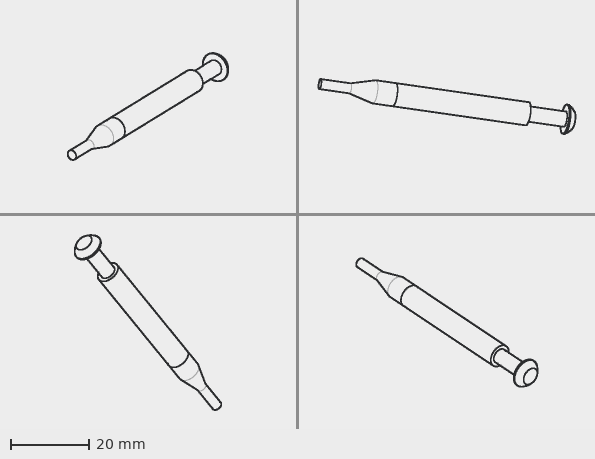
import cadquery as cq

total_length = 67.8

tip_diameter = 2.65
tip_length = 8.0
cone_length = 6.5
collar_length = 5.35

barrel_diameter = 6.05

shank_diameter = 4.0
shank_length = 10.05
head_diameter = 7.6
head_height = 2.2
rim_thickness = 0.4
crown_diameter = 4.6
crown_bulge = 0.15

tip_end_y = -total_length / 2
cone_start_y = tip_end_y + tip_length
collar_start_y = cone_start_y + cone_length
barrel_start_y = collar_start_y + collar_length
head_top_y = total_length / 2
head_base_y = head_top_y - head_height
barrel_end_y = head_base_y - shank_length
rim_top_y = head_base_y + rim_thickness


def revolve_about_y(half_profile):
    """Turn a closed half profile, drawn on +X, fully about the Y axis."""
    return half_profile.close().revolve(360, (0, 0, 0), (0, 1, 0))


def make_nose():
    """Tip, cone and collar as one turned piece."""
    tip_radius = tip_diameter / 2
    collar_radius = barrel_diameter / 2
    return revolve_about_y(
        cq.Workplane("XY")
        .moveTo(0, tip_end_y)
        .lineTo(tip_radius, tip_end_y)
        .lineTo(tip_radius, cone_start_y)
        .lineTo(collar_radius, collar_start_y)
        .lineTo(collar_radius, barrel_start_y)
        .lineTo(0, barrel_start_y)
    )


def make_barrel():
    """Plain cylinder between the nose and the screw."""
    barrel_radius = barrel_diameter / 2
    return revolve_about_y(
        cq.Workplane("XY")
        .moveTo(0, barrel_start_y)
        .lineTo(barrel_radius, barrel_start_y)
        .lineTo(barrel_radius, barrel_end_y)
        .lineTo(0, barrel_end_y)
    )


def make_screw():
    """Shank that meets the barrel end, with a domed head above a thin rim."""
    shank_radius = shank_diameter / 2
    head_radius = head_diameter / 2
    crown_radius = crown_diameter / 2
    return revolve_about_y(
        cq.Workplane("XY")
        .moveTo(0, barrel_end_y)
        .lineTo(shank_radius, barrel_end_y)
        .lineTo(shank_radius, head_base_y)
        .lineTo(head_radius, head_base_y)
        .lineTo(head_radius, rim_top_y)
        .sagittaArc((crown_radius, head_top_y), -crown_bulge)
        .lineTo(0, head_top_y)
    )


nose = make_nose()
barrel = make_barrel()
screw = make_screw()

result = cq.Compound.makeCompound([nose.val(), barrel.val(), screw.val()])